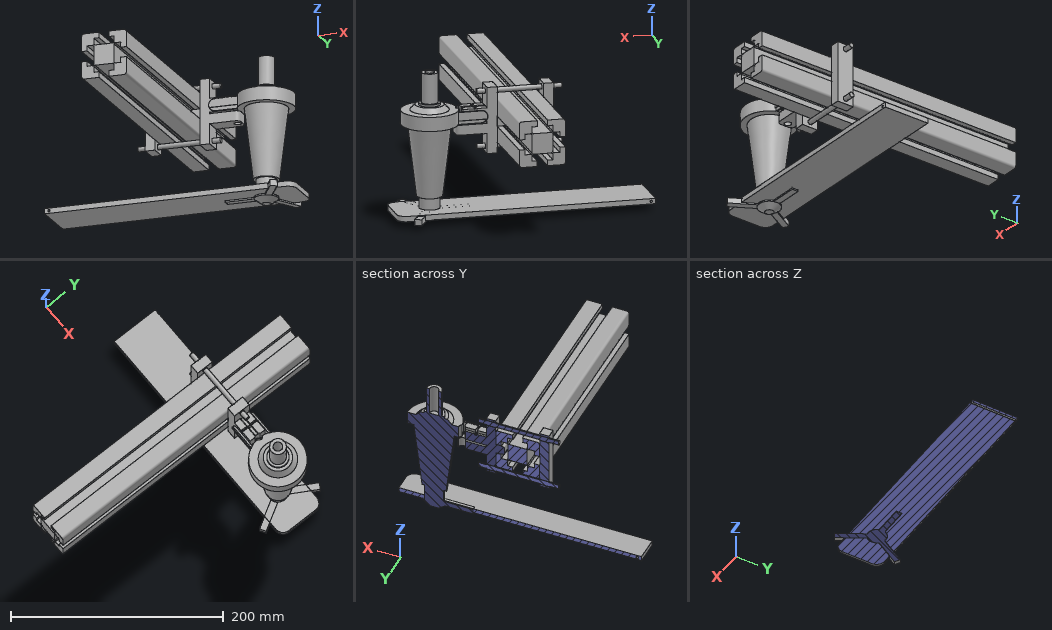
import cadquery as cq


BEAM_LENGTH = 300.0
BEAM_SIDE = 45.0
BEAM_X = -86.0
BEAM_Y = -59.0
BEAM_Z = 94.0
BEAM_EDGE_RADIUS = 2.7
SLOT_OPENING = 10.0
LIP_THICKNESS = 5.7
CORE_SIDE = 20.0
WEB_THICKNESS = 1.5

PLATE_THICKNESS = 10.0
PLATE_WIDTH = 18.0
PLATE_HEIGHT = 65.0
CLAMP_Z = 95.5
ROD_DIAMETER = 5.0
ROD_LENGTH = 82.8
ROD_SPACING = 54.0
ROD_X = -87.0

TONGUE_LENGTH = 9.0
TONGUE_WIDTH = 16.2
TONGUE_HEIGHT = 10.0
TONGUE_EDGE_RADIUS = 1.5
UPPER_LUG_END = -30.3
LOWER_LUG_END = -24.0
LOWER_LUG_TOP = 92.7
LOWER_LUG_HEIGHT = 10.0
LOWER_LUG_RADIUS = 4.5
CHANNEL_WIDTH = 3.5
CHANNEL_DEPTH = 3.0
LUG_HOLE_DIAMETER = 7.0
LUG_HOLE_X = -28.8
GROOVE_X = -43.0
GROOVE_WIDTH = 1.8
GROOVE_DEPTH = 4.5

TIP_RADIUS = 4.5
FOOT_RADIUS = 11.7
SHAFT_RADIUS = 20.0 / 2
CONE_BOTTOM_RADIUS = 12.5
CONE_TOP_RADIUS = 21.0
FLANGE_RADIUS = 27.5
CAP_BASE_RADIUS = 18.5
CAP_TOP_RADIUS = 13.8
COLLAR_RADIUS = 21.0 / 2
TUBE_RADIUS = 16.0 / 2
BORE_DIAMETER = 9.0
BORE_DEPTH = 30.0
FOOT_TOP_Z = 5.0
CONE_BOTTOM_Z = 23.7
FLANGE_BOTTOM_Z = 94.2
FLANGE_TOP_Z = 108.0
CAP_TOP_Z = 113.0
COLLAR_TOP_Z = 115.2
TUBE_TOP_Z = 144.5

EAR_OUTER_Y = 12.0
EAR_INNER_Y = 10.0
EAR_HEIGHT = 12.0
EAR_STEP_HEIGHT = 3.5
EAR_STEP_DEPTH = 0.5

ARM_COUNT = 3
ARM_LENGTH = 40.2
ARM_WIDTH = 7.0
ARM_THICKNESS = 6.0
ARM_START_ANGLE = 60

BLADE_LENGTH = 250.0
BLADE_WIDTH = 50.0
BLADE_THICKNESS = 5.5
BLADE_RIGHT_X = 36.3
BLADE_BOTTOM_Z = 6.5
BLADE_CORNER_RADIUS = 9.0
BLADE_HOLE_DIAMETER = 2.0
BLADE_HOLE_INSET = 4.5

BEAM_LEFT_X = BEAM_X - BEAM_SIDE / 2
BEAM_RIGHT_X = BEAM_X + BEAM_SIDE / 2
INNER_PLATE_FACE_X = BEAM_RIGHT_X + PLATE_THICKNESS
BLADE_LEFT_X = BLADE_RIGHT_X - BLADE_LENGTH


def block(x_min, x_max, width, z_min, z_max):
    """Box between two X and two Z levels, centred on Y = 0."""
    return (
        cq.Workplane("XY")
        .box(x_max - x_min, width, z_max - z_min, centered=(False, True, False))
        .translate((x_min, 0, z_min))
    )


def upright_cylinder(diameter, x, z_min, z_max):
    return cq.Workplane("XY", origin=(x, 0, z_min)).circle(diameter / 2).extrude(z_max - z_min)


def make_beam():
    """Square beam with a T-slot in each side, its core held by four thin diagonal webs."""

    def bar(width, height, centre_z=0.0):
        return cq.Workplane("XY").box(width, BEAM_LENGTH, height).translate((0, 0, centre_z))

    beam = bar(BEAM_SIDE, BEAM_SIDE).edges("|Y").fillet(BEAM_EDGE_RADIUS)
    inner_depth = (BEAM_SIDE - CORE_SIDE) / 2
    lip_inside = BEAM_SIDE / 2 - LIP_THICKNESS
    undercut_height = inner_depth - LIP_THICKNESS
    opening = bar(SLOT_OPENING, inner_depth, (BEAM_SIDE - inner_depth) / 2)
    undercut = bar(CORE_SIDE, undercut_height, lip_inside - undercut_height / 2)
    slot = opening.union(undercut)
    for quarter in range(4):
        beam = beam.cut(slot.rotate((0, 0, 0), (0, 1, 0), 90 * quarter))
    for x_side in (-1, 1):
        for z_side in (-1, 1):
            web = bar(WEB_THICKNESS, WEB_THICKNESS).rotate((0, 0, 0), (0, 1, 0), 45)
            beam = beam.union(web.translate((x_side * CORE_SIDE / 2, 0, z_side * CORE_SIDE / 2)))
    return beam.translate((BEAM_X, BEAM_Y, BEAM_Z))


def make_rods():
    """Two clamp rods along X, above and below the beam."""
    rods = []
    for side in (-1, 1):
        start = (ROD_X - ROD_LENGTH / 2, 0, CLAMP_Z + side * ROD_SPACING / 2)
        rods.append(cq.Workplane("YZ", origin=start).circle(ROD_DIAMETER / 2).extrude(ROD_LENGTH))
    return rods


def make_clamp_plate(x_min, rods):
    """Plate with a hole for each rod."""
    z_min = CLAMP_Z - PLATE_HEIGHT / 2
    plate = block(x_min, x_min + PLATE_THICKNESS, PLATE_WIDTH, z_min, z_min + PLATE_HEIGHT)
    for rod in rods:
        plate = plate.cut(rod)
    return plate


def make_tongue():
    """Tongue that sits in the side slot of the beam."""
    tongue_z = BEAM_Z - TONGUE_HEIGHT / 2
    tongue_start = BEAM_RIGHT_X - TONGUE_LENGTH
    tongue = block(tongue_start, BEAM_RIGHT_X, TONGUE_WIDTH, tongue_z, tongue_z + TONGUE_HEIGHT)
    return tongue.edges("<X and |Y").fillet(TONGUE_EDGE_RADIUS)


def make_lugs():
    """Grooved upper lug and rounded lower lug, both cut by one upright hole."""
    upper = block(INNER_PLATE_FACE_X, UPPER_LUG_END, PLATE_WIDTH, FLANGE_BOTTOM_Z, FLANGE_TOP_Z)
    groove = block(
        GROOVE_X - GROOVE_WIDTH / 2,
        GROOVE_X + GROOVE_WIDTH / 2,
        PLATE_WIDTH,
        FLANGE_TOP_Z - GROOVE_DEPTH,
        FLANGE_TOP_Z,
    )
    lower_bottom = LOWER_LUG_TOP - LOWER_LUG_HEIGHT
    lower = block(INNER_PLATE_FACE_X, LOWER_LUG_END, PLATE_WIDTH, lower_bottom, LOWER_LUG_TOP)
    lower = lower.edges(">X and |Z").fillet(LOWER_LUG_RADIUS)
    channel_floor = FLANGE_TOP_Z - CHANNEL_DEPTH
    channel = block(INNER_PLATE_FACE_X, UPPER_LUG_END, CHANNEL_WIDTH, channel_floor, FLANGE_TOP_Z)
    hole = upright_cylinder(LUG_HOLE_DIAMETER, LUG_HOLE_X, lower_bottom, FLANGE_TOP_Z)
    return upper.cut(groove).cut(channel).union(lower).cut(hole)


def make_inner_clamp(rods):
    return make_clamp_plate(BEAM_RIGHT_X, rods).union(make_tongue()).union(make_lugs())


def make_ear(side):
    """Ear with a full-round free end and a shallow step along its lower edge."""
    radius = EAR_HEIGHT / 2
    thickness = EAR_OUTER_Y - EAR_INNER_Y
    root_x = -(FLANGE_RADIUS**2 - EAR_OUTER_Y**2) ** 0.5 + thickness
    centre_x = INNER_PLATE_FACE_X + radius
    top_z = FLANGE_BOTTOM_Z + EAR_HEIGHT
    ear = (
        cq.Workplane("XZ")
        .moveTo(root_x, FLANGE_BOTTOM_Z)
        .lineTo(centre_x, FLANGE_BOTTOM_Z)
        .threePointArc((INNER_PLATE_FACE_X, FLANGE_BOTTOM_Z + radius), (centre_x, top_z))
        .lineTo(root_x, top_z)
        .close()
        .extrude(thickness)
        .translate((0, -EAR_INNER_Y, 0))
    )
    step = block(
        INNER_PLATE_FACE_X, root_x, EAR_STEP_DEPTH, FLANGE_BOTTOM_Z, FLANGE_BOTTOM_Z + EAR_STEP_HEIGHT
    ).translate((0, EAR_STEP_DEPTH / 2 - EAR_OUTER_Y, 0))
    ear = ear.cut(step)
    return ear if side < 0 else ear.mirror("XZ")


def make_arms():
    """Arms spaced evenly around the foot of the spindle."""
    arm = block(0, ARM_LENGTH, ARM_WIDTH, FOOT_TOP_Z, FOOT_TOP_Z + ARM_THICKNESS)
    arms = arm.rotate((0, 0, 0), (0, 0, 1), ARM_START_ANGLE)
    for index in range(1, ARM_COUNT):
        angle = ARM_START_ANGLE + index * 360 / ARM_COUNT
        arms = arms.union(arm.rotate((0, 0, 0), (0, 0, 1), angle))
    return arms


def make_spindle():
    """Turned spindle with a bored tube, a flange notched in line with the lug hole, ears and arms."""
    turned = (
        cq.Workplane("XZ")
        .moveTo(0, 0)
        .lineTo(TIP_RADIUS, 0)
        .lineTo(FOOT_RADIUS, FOOT_TOP_Z)
        .lineTo(FOOT_RADIUS, BLADE_BOTTOM_Z)
        .lineTo(SHAFT_RADIUS, BLADE_BOTTOM_Z)
        .lineTo(SHAFT_RADIUS, CONE_BOTTOM_Z)
        .lineTo(CONE_BOTTOM_RADIUS, CONE_BOTTOM_Z)
        .lineTo(CONE_TOP_RADIUS, FLANGE_BOTTOM_Z)
        .lineTo(FLANGE_RADIUS, FLANGE_BOTTOM_Z)
        .lineTo(FLANGE_RADIUS, FLANGE_TOP_Z)
        .lineTo(CAP_BASE_RADIUS, FLANGE_TOP_Z)
        .lineTo(CAP_TOP_RADIUS, CAP_TOP_Z)
        .lineTo(COLLAR_RADIUS, CAP_TOP_Z)
        .lineTo(COLLAR_RADIUS, COLLAR_TOP_Z)
        .lineTo(TUBE_RADIUS, COLLAR_TOP_Z)
        .lineTo(TUBE_RADIUS, TUBE_TOP_Z)
        .lineTo(0, TUBE_TOP_Z)
        .close()
        .revolve(360, (0, 0, 0), (0, 1, 0))
    )
    bore = upright_cylinder(BORE_DIAMETER, 0, TUBE_TOP_Z - BORE_DEPTH, TUBE_TOP_Z)
    flange_notch = upright_cylinder(LUG_HOLE_DIAMETER, LUG_HOLE_X, FLANGE_BOTTOM_Z, FLANGE_TOP_Z)
    spindle = turned.cut(bore).cut(flange_notch).union(make_arms())
    for side in (-1, 1):
        spindle = spindle.union(make_ear(side))
    return spindle


def make_blade(spindle):
    """Long flat blade, rounded at one end, with a cross hole and a seat for the spindle foot."""
    blade = block(
        BLADE_LEFT_X, BLADE_RIGHT_X, BLADE_WIDTH, BLADE_BOTTOM_Z, BLADE_BOTTOM_Z + BLADE_THICKNESS
    )
    blade = blade.edges(">X and |Z").fillet(BLADE_CORNER_RADIUS)
    cross_hole = (
        cq.Workplane("XZ", origin=(BLADE_LEFT_X + BLADE_HOLE_INSET, 0, BLADE_BOTTOM_Z + BLADE_THICKNESS / 2))
        .circle(BLADE_HOLE_DIAMETER / 2)
        .extrude(BLADE_WIDTH / 2, both=True)
    )
    return blade.cut(cross_hole).cut(spindle)


beam = make_beam()
rods = make_rods()
outer_clamp = make_clamp_plate(BEAM_LEFT_X - PLATE_THICKNESS, rods)
inner_clamp = make_inner_clamp(rods)
spindle = make_spindle()
blade = make_blade(spindle)

result = cq.Compound.makeCompound(
    [
        beam.val(),
        outer_clamp.val(),
        inner_clamp.val(),
        *[rod.val() for rod in rods],
        spindle.val(),
        blade.val(),
    ]
)